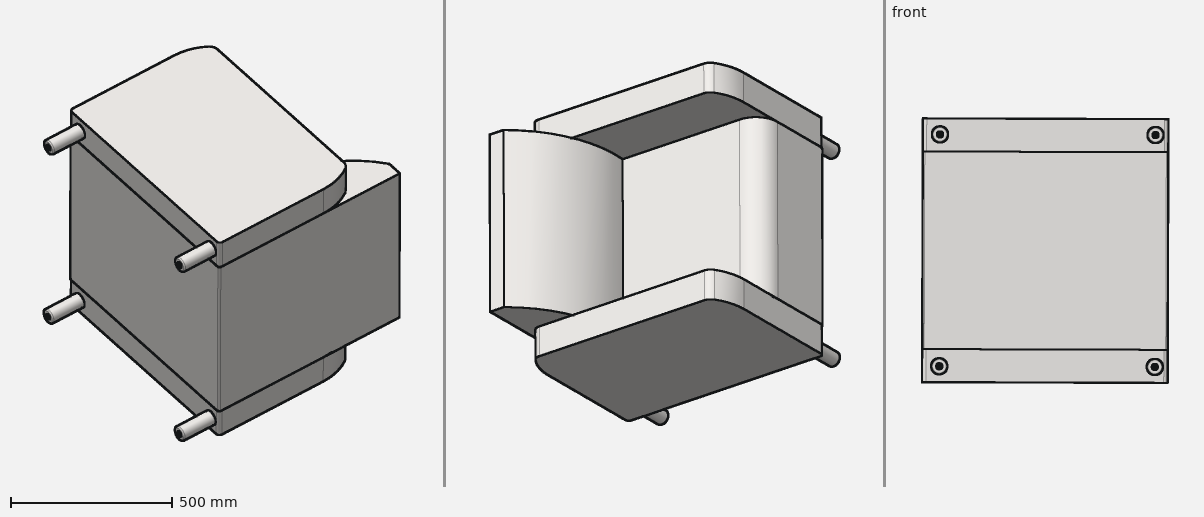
import cadquery as cq
import math


depth = 762.0
width = 818.0
tilt_angle = 0.18
left = -depth / 2
right = depth / 2

arm_thickness = 103.0
arm_height = 532.0
arm_straight_height = 408.0
arm_side_radius = 199.0
arm_top_fillet = 33.0
arm_base_fillet = 12.5

seat_width = width - 2 * arm_thickness
seat_height = 318.0
seat_nose_radius = 84.0
seat_base_fillet = 7.0
back_height = 706.0
back_top_depth = 55.0
back_radius = 440.0
back_center_x = 596.0
back_center_y = 358.5

leg_diameter = 51.0
leg_length = 124.0
leg_end_fillet = 4.0
leg_spacing_x = 668.0
leg_spacing_z = 719.0
leg_offset_x = 7.0
recess_diameter = 19.0
recess_depth = 8.0
hole_diameter = 8.0
hole_depth = 25.0


def make_arm(z_bottom):
    """Side panel with inward-curving upper sides and rounded corners."""

    def side_inset(y):
        rise = y - arm_straight_height
        return arm_side_radius - math.sqrt(arm_side_radius**2 - rise**2)

    middle_y = (arm_straight_height + arm_height) / 2
    middle_inset = side_inset(middle_y)
    top_inset = side_inset(arm_height)
    panel = (
        cq.Workplane("XY", origin=(0, 0, z_bottom))
        .moveTo(left, 0)
        .lineTo(right, 0)
        .lineTo(right, arm_straight_height)
        .threePointArc((right - middle_inset, middle_y), (right - top_inset, arm_height))
        .lineTo(left + top_inset, arm_height)
        .threePointArc((left + middle_inset, middle_y), (left, arm_straight_height))
        .close()
        .extrude(arm_thickness)
    )
    panel = panel.edges("|Z and >Y").fillet(arm_top_fillet)
    return panel.edges("|Z and <Y").fillet(arm_base_fillet)


def make_seat():
    """Seat block and curved backrest in one piece between the arms."""

    def back_face_x(y):
        return back_center_x - math.sqrt(back_radius**2 - (y - back_center_y) ** 2)

    middle_y = (seat_height + back_height) / 2
    nose_start_y = seat_height - seat_nose_radius
    nose_end_x = left + seat_nose_radius
    nose_middle = (
        nose_end_x - seat_nose_radius * math.sqrt(0.5),
        nose_start_y + seat_nose_radius * math.sqrt(0.5),
    )
    return (
        cq.Workplane("XY", origin=(0, 0, -seat_width / 2))
        .moveTo(left, 0)
        .lineTo(right, 0)
        .lineTo(right, back_height)
        .lineTo(right - back_top_depth, back_height)
        .threePointArc((back_face_x(middle_y), middle_y), (back_face_x(seat_height), seat_height))
        .lineTo(nose_end_x, seat_height)
        .threePointArc(nose_middle, (left, nose_start_y))
        .close()
        .extrude(seat_width)
        .edges("|Z and <Y")
        .fillet(seat_base_fillet)
    )


def make_leg(x, z):
    """Round leg with a softened end and a stepped hole in its foot."""
    leg = (
        cq.Workplane("XZ", origin=(x, 0, z))
        .circle(leg_diameter / 2)
        .extrude(leg_length)
        .faces("<Y")
        .edges()
        .fillet(leg_end_fillet)
    )
    foot = leg.faces("<Y").workplane()
    return foot.cboreHole(hole_diameter, recess_diameter, recess_depth, hole_depth)


def tilt(body):
    return body.rotate((0, 0, 0), (0, 1, 0), tilt_angle)


arms = [make_arm(z) for z in (-width / 2, width / 2 - arm_thickness)]
seat = make_seat()
legs = [
    make_leg(leg_offset_x + side_x * leg_spacing_x / 2, side_z * leg_spacing_z / 2)
    for side_x in (-1, 1)
    for side_z in (-1, 1)
]

result = cq.Compound.makeCompound([tilt(body).val() for body in [*arms, seat, *legs]])